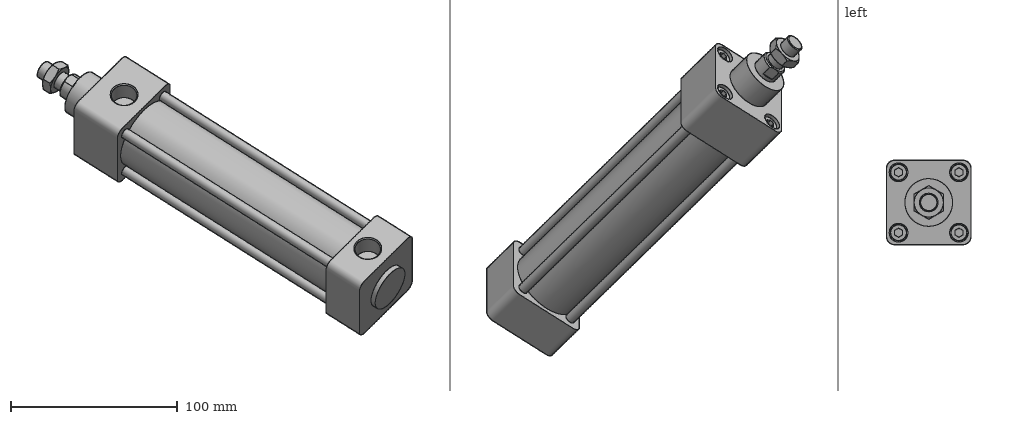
import cadquery as cq
import math


overall_length = 266.7

head_size = 50.8
head_corner_radius = 5.08
front_head_length = 33.3375
rear_head_length = 25.7
collar_diameter = 28.575
collar_length = 15.875
pilot_length = 3.175
port_diameter = 15.28
port_depth = 12.7
port_chamfer = 0.7
front_port_x = 18.25625
rear_port_setback = 13.9

tube_outer_diameter = 44.45
tube_bore = 38.1

rod_diameter = 15.875
stud_diameter = 11.1125
stud_length = 19.05
stud_tip_diameter = 9.74
stud_tip_chamfer_length = 0.4
shoulder_chamfer = 0.79
wrench_flat_width = 14.2875
wrench_flat_length = 7.2
rod_reach = 44.45

nut_width = 17.4625
nut_thickness = 6.35
nut_tip_distance = 7.0
nut_chamfer_angle = 30

tie_rod_diameter = 6.35
tie_rod_offset = 18.1
tie_rod_engagement = 12.7
tie_head_diameter = 9.74
tie_head_length = 6.35
tie_head_chamfer = 0.17
tie_head_recess = 1.6
socket_width = 4.7625
socket_depth = 3.175
counterbore_diameter = 11.18

rod_tip_x = -rod_reach
shoulder_x = rod_tip_x + stud_length
rear_face_x = overall_length - rod_reach - pilot_length
tube_start_x = front_head_length
tube_end_x = rear_face_x - rear_head_length
tie_seat_x = tie_head_recess + tie_head_length
tie_rod_end_x = tube_end_x + tie_rod_engagement

tie_rod_places = [
    (y, z)
    for y in (-tie_rod_offset, tie_rod_offset)
    for z in (-tie_rod_offset, tie_rod_offset)
]


def cylinder(diameter, start_x, end_x, y=0, z=0):
    """Round bar along X between two X positions."""
    plane = cq.Workplane("YZ", origin=(start_x, y, z))
    return plane.circle(diameter / 2).extrude(end_x - start_x)


def across_corners(width):
    """Corner-to-corner size of a hexagon from its width across flats."""
    return width / math.cos(math.pi / 6)


def hexagon(width, start_x, end_x, y=0, z=0):
    """Hexagonal bar along X with flats facing +Y and -Y and corners up and down."""
    bar = cq.Workplane("YZ").polygon(6, across_corners(width)).extrude(end_x - start_x)
    return bar.rotate((0, 0, 0), (1, 0, 0), 90).translate((start_x, y, z))


def head_block(start_x, end_x):
    """Square head with rounded long edges."""
    block = cq.Workplane("YZ", origin=(start_x, 0, 0)).rect(head_size, head_size)
    return block.extrude(end_x - start_x).edges("|X").fillet(head_corner_radius)


def port(x):
    """Cutter for a blind port with a chamfered mouth, going down from the top face of a head."""
    top = cq.Workplane("XY", origin=(x, 0, head_size / 2))
    hole = top.circle(port_diameter / 2).extrude(-port_depth)
    mouth = top.circle(port_diameter / 2 + port_chamfer).extrude(-port_chamfer, taper=45)
    return hole.union(mouth)


def make_front_head():
    head = head_block(0, front_head_length)
    head = head.union(cylinder(collar_diameter, -collar_length, 0))
    head = head.cut(cylinder(rod_diameter, -collar_length, front_head_length))
    head = head.cut(port(front_port_x))
    for y, z in tie_rod_places:
        head = head.cut(cylinder(counterbore_diameter, 0, tie_seat_x, y, z))
        head = head.cut(cylinder(tie_rod_diameter, 0, front_head_length, y, z))
    return head


def make_rear_head():
    head = head_block(tube_end_x, rear_face_x)
    head = head.union(cylinder(collar_diameter, rear_face_x, rear_face_x + pilot_length))
    head = head.cut(port(rear_face_x - rear_port_setback))
    for y, z in tie_rod_places:
        head = head.cut(cylinder(tie_rod_diameter, tube_end_x, tie_rod_end_x, y, z))
    return head


def make_tube():
    tube = cylinder(tube_outer_diameter, tube_start_x, tube_end_x)
    tube = tube.cut(cylinder(tube_bore, tube_start_x, tube_end_x))
    for y, z in tie_rod_places:
        tube = tube.cut(cylinder(tie_rod_diameter, tube_start_x, tube_end_x, y, z))
    return tube


def make_piston_rod():
    rod = cylinder(rod_diameter, shoulder_x, front_head_length)
    rod = rod.faces("<X").chamfer(shoulder_chamfer)

    flats = cq.Workplane("YZ", origin=(shoulder_x, 0, 0))
    between_flats = flats.rect(rod_diameter, wrench_flat_width).extrude(wrench_flat_length)
    around_rod = flats.rect(rod_diameter, rod_diameter).extrude(wrench_flat_length)
    rod = rod.cut(around_rod.cut(between_flats))

    stud = cylinder(stud_diameter, rod_tip_x, shoulder_x)
    tip_chamfer_width = (stud_diameter - stud_tip_diameter) / 2
    stud = stud.faces("<X").chamfer(stud_tip_chamfer_length, tip_chamfer_width)
    return rod.union(stud)


def make_nut():
    start_x = rod_tip_x + nut_tip_distance
    end_x = start_x + nut_thickness
    corner_diameter = across_corners(nut_width)
    chamfer_width = (corner_diameter - nut_width) / 2
    chamfer_length = chamfer_width * math.tan(math.radians(nut_chamfer_angle))
    rounded = cylinder(corner_diameter, start_x, end_x)
    rounded = rounded.faces("<X or >X").chamfer(chamfer_length, chamfer_width)
    nut = hexagon(nut_width, start_x, end_x).intersect(rounded)
    return nut.cut(cylinder(stud_diameter, start_x, end_x))


def make_tie_rod(y, z):
    head = cylinder(tie_head_diameter, tie_head_recess, tie_seat_x, y, z)
    head = head.faces("<X").chamfer(tie_head_chamfer)
    head = head.cut(hexagon(socket_width, tie_head_recess, tie_head_recess + socket_depth, y, z))
    return head.union(cylinder(tie_rod_diameter, tie_seat_x, tie_rod_end_x, y, z))


front_head = make_front_head()
rear_head = make_rear_head()
tube = make_tube()
piston_rod = make_piston_rod()
nut = make_nut()
tie_rods = [make_tie_rod(y, z) for y, z in tie_rod_places]

result = cq.Compound.makeCompound([
    front_head.val(),
    rear_head.val(),
    tube.val(),
    piston_rod.val(),
    nut.val(),
    *[tie_rod.val() for tie_rod in tie_rods],
])